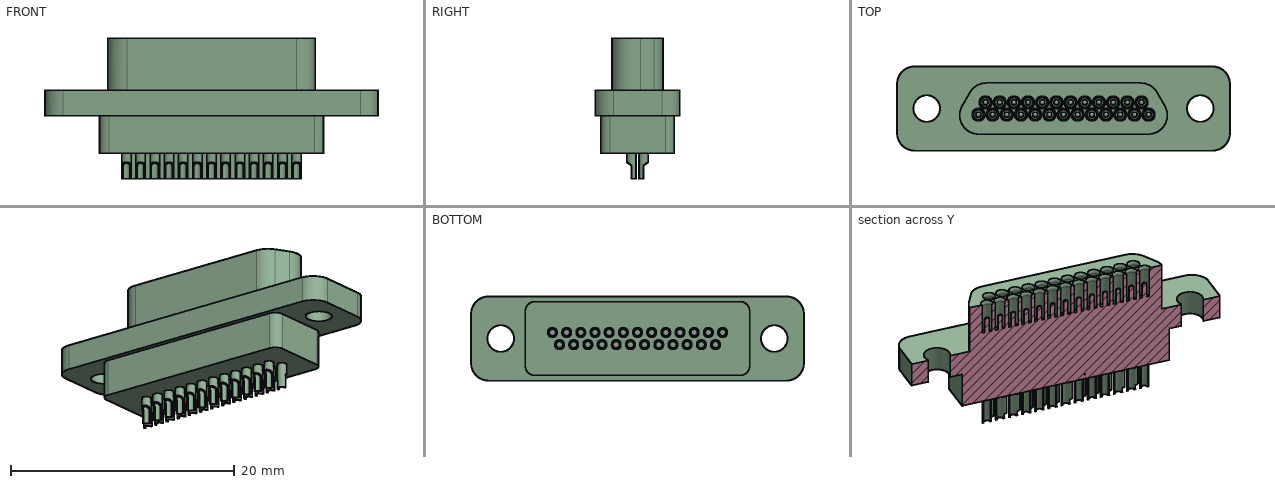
import cadquery as cq
import math

flange_length = 29.84
flange_width = 7.57
flange_thickness = 2.32
flange_corner_radius = 1.6
mounting_hole_diameter = 2.36
mounting_hole_spacing = 24.5

body_length = 20.08
body_width = 6.6
body_height = 3.34
body_corner_radius = 0.83

shell_length = 18.6
shell_width = 4.58
shell_height = 4.65
shell_corner_radius = 1.69
shell_side_angle = math.radians(60)

contact_pitch = 1.27
row_spacing = 1.09
long_row_count = 13
short_row_count = 12

well_mouth_radius = 0.57
well_radius = 0.44
well_mouth_depth = 0.33
well_depth = 3.0
pin_radius = 0.235
pin_height = 1.5

cup_radius = 0.425
cup_bore_radius = 0.30
cup_length = 2.30
cup_cut_start = 0.80
cup_cut_full = 1.10
cup_root = 0.2

shell_top = flange_thickness + shell_height
body_bottom = -body_height
cup_bottom = body_bottom - cup_length


def row_points(count, y):
    """Evenly pitched contact centres of one row, centred on X = 0."""
    first_x = -(count - 1) * contact_pitch / 2
    return [(first_x + i * contact_pitch, y) for i in range(count)]


long_row = row_points(long_row_count, -row_spacing / 2)
short_row = row_points(short_row_count, row_spacing / 2)


def rounded_block(length, width, height, corner_radius, bottom):
    block = cq.Workplane("XY").workplane(offset=bottom).rect(length, width).extrude(height)
    return block.edges("|Z").fillet(corner_radius)


def make_flange():
    flange = rounded_block(flange_length, flange_width, flange_thickness, flange_corner_radius, 0)
    hole_x = mounting_hole_spacing / 2
    holes = (
        cq.Workplane("XY")
        .pushPoints([(-hole_x, 0), (hole_x, 0)])
        .circle(mounting_hole_diameter / 2)
        .extrude(flange_thickness)
    )
    return flange.cut(holes)


def make_shell():
    corner_centre_x = shell_length / 2 - shell_corner_radius
    long_half = corner_centre_x + shell_corner_radius / math.tan(shell_side_angle / 2)
    short_half = long_half - shell_width / math.tan(shell_side_angle)
    half_width = shell_width / 2
    outline = [
        (-long_half, -half_width),
        (long_half, -half_width),
        (short_half, half_width),
        (-short_half, half_width),
    ]
    shell = cq.Workplane("XY").workplane(offset=flange_thickness).polyline(outline).close()
    return shell.extrude(shell_height).edges("|Z").fillet(shell_corner_radius)


def make_well_space():
    """Empty space of one contact well: flared mouth, round bore, less the pin on its floor."""
    mouth_bottom = shell_top - well_mouth_depth
    mouth_half_sweep = math.atan((well_mouth_radius - well_radius) / well_mouth_depth)
    mouth_arc_radius = well_mouth_depth / math.sin(2 * mouth_half_sweep)
    mouth_mid = (
        well_radius + mouth_arc_radius * (1 - math.cos(mouth_half_sweep)),
        mouth_bottom + mouth_arc_radius * math.sin(mouth_half_sweep),
    )
    floor = shell_top - well_depth
    pin_top = floor + pin_height
    nose_start = pin_top - pin_radius
    nose_mid = pin_radius * math.sin(math.radians(45))
    return (
        cq.Workplane("XZ")
        .moveTo(0, shell_top)
        .lineTo(well_mouth_radius, shell_top)
        .threePointArc(mouth_mid, (well_radius, mouth_bottom))
        .lineTo(well_radius, floor)
        .lineTo(pin_radius, floor)
        .lineTo(pin_radius, nose_start)
        .threePointArc((nose_mid, nose_start + nose_mid), (0, pin_top))
        .close()
        .revolve(360, (0, 0, 0), (0, 1, 0))
    )


def make_solder_cup():
    """One cup on the Z axis, bored up to the rear body.

    Below a sloping shoulder its -Y half is cut away to the axis.
    """
    cup = (
        cq.Workplane("XY")
        .workplane(offset=cup_bottom)
        .circle(cup_radius)
        .extrude(cup_length + cup_root)
    )
    bore = cq.Workplane("XY").workplane(offset=cup_bottom).circle(cup_bore_radius).extrude(cup_length)
    opening = (
        cq.Workplane("YZ")
        .moveTo(-cup_radius, body_bottom - cup_cut_start)
        .lineTo(0, body_bottom - cup_cut_full)
        .lineTo(0, cup_bottom)
        .lineTo(-cup_radius, cup_bottom)
        .close()
        .extrude(cup_radius, both=True)
    )
    return cup.cut(bore).cut(opening)


def copies(shape, points):
    solid = shape.val()
    return [solid.moved(cq.Location(cq.Vector(x, y, 0))) for x, y in points]


body = rounded_block(body_length, body_width, body_height, body_corner_radius, body_bottom)
housing = make_flange().union(body).union(make_shell()).val()

housing = housing.cut(*copies(make_well_space(), long_row + short_row))

front_cup = make_solder_cup()
back_cup = front_cup.rotate((0, 0, 0), (0, 0, 1), 180)
cups = copies(front_cup, long_row) + copies(back_cup, short_row)

result = cq.Workplane("XY").newObject([housing.fuse(*cups)])